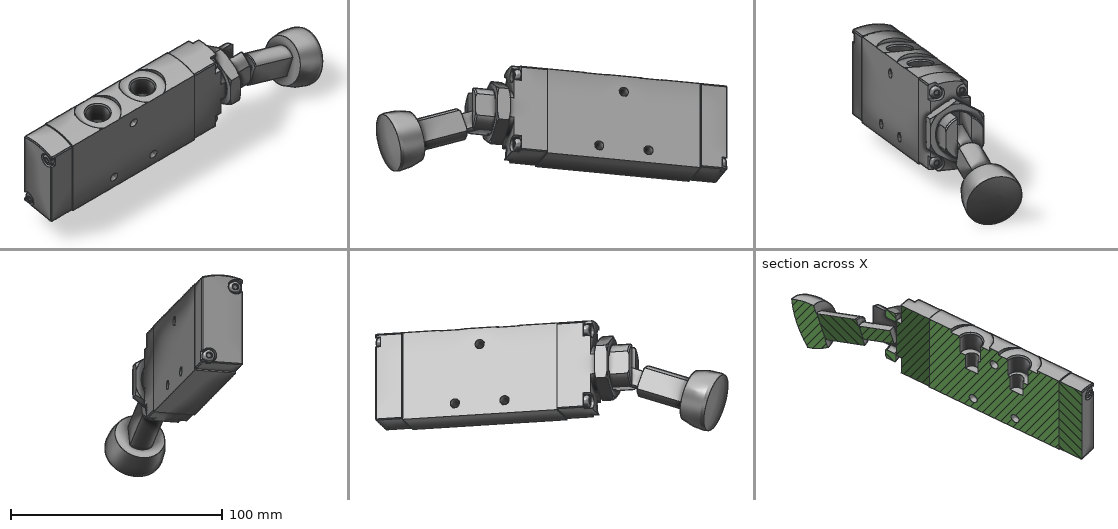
import cadquery as cq
import math

width = 20.0
half_width = width / 2
block_top = 44.0
side_top = 42.3
front_seam = 13.3
rear_seam = 88.7
block_mid = (front_seam + rear_seam) / 2

mount_hole_dia = 4.4
mount_high_z = 34.4
mount_low_z = 6.2
mount_low_offset = 12.1

port_offset = 13.8
port_dia = 11.5
port_depth = 10.1
port_chamfer = 0.7
passage_offset = 13.0
passage_dia = 7.0
passage_depth = 18.5
spot_face_dia = 22.1
spot_face_z = 42.2

cap_bottom = 0.5
rear_face = 105.0
cap_edge = 0.5

screw_x = 6.4
screw_high_z = 38.6
screw_low_z = 4.0
head_dia = 5.9
head_height = 2.5
head_rounding = 1.3
socket_dia = 2.5
socket_rim_dia = 3.0
socket_depth = 1.2
front_recess_dia = 7.0
front_recess_depth = 2.5
front_slot_height = 4.5
rear_recess_dia = 6.7
rear_recess_depth = 3.5

neck_z = 21.2
nut_rear = 108.0
nut_thickness = 6.2
nut_across_flats = 27.1
nut_chamfer_dia = 28.3
nut_chamfer_height = 0.7
nut_bore = 20.4
nut_bore_chamfer = 0.8
neck_end = 123.8
shoulder_dia = 22.3
shoulder_flats = width
neck_dia = 21.8
neck_flats = 18.9
neck_tip_dia = 20.4

lever_tilt = 20.0
pivot_y = 108.6
bar_width = 7.0
bar_height = 7.8
bar_start = 1.7
stem_start = 21.0
stem_dia = 15.2
stem_flats = 10.8
stem_end_chamfer = 0.5
knob_base = 45.7
knob_base_radius = 12.1
knob_bulge_at = 51.6
knob_bulge_radius = 13.8
knob_rim = 57.2
knob_rim_radius = 14.2
knob_shoulder = 58.9
knob_shoulder_radius = 13.8
knob_apex = 60.7
knob_crown_slope = 0.3


def box(x_range, y_range, z_range):
    """Axis-aligned block from its lower and upper limits."""
    size = [high - low for low, high in (x_range, y_range, z_range)]
    corner = (x_range[0], y_range[0], z_range[0])
    return cq.Workplane("XY").box(*size, centered=False).translate(corner)


def rod(diameter, y_start, y_end, x=0, z=0):
    """Round bar parallel to Y."""
    plane = cq.Plane(origin=(x, y_start, z), xDir=(1, 0, 0), normal=(0, 1, 0))
    return cq.Workplane(plane).circle(diameter / 2).extrude(y_end - y_start)


def flatted(body, flats):
    """Trim a round bar parallel to Y down to two flats facing -X and +X."""
    bounds = body.val().BoundingBox()
    between_flats = box((-flats / 2, flats / 2), (bounds.ymin, bounds.ymax), (bounds.zmin, bounds.zmax))
    return body.intersect(between_flats)


def crowned_bar(bottom, y_start, y_end):
    """Bar along Y with flat sides and a gently arched top."""
    plane = cq.Plane(origin=(0, y_start, 0), xDir=(-1, 0, 0), normal=(0, 1, 0))
    return (
        cq.Workplane(plane)
        .moveTo(-half_width, bottom)
        .lineTo(half_width, bottom)
        .lineTo(half_width, side_top)
        .threePointArc((0, block_top), (-half_width, side_top))
        .close()
        .extrude(y_end - y_start)
    )


def drill_down(diameter, y, top, depth):
    return cq.Workplane("XY", origin=(0, y, top)).circle(diameter / 2).extrude(-depth)


def port_cutter(side):
    """Spot face, chamfered port and offset inner passage; side is -1 or +1 along Y."""
    y = block_mid + side * port_offset
    passage_y = block_mid + side * passage_offset
    cutter = drill_down(spot_face_dia, y, block_top, block_top - spot_face_z)
    cutter = cutter.union(drill_down(port_dia, y, spot_face_z, port_depth))
    countersink = (
        cq.Workplane("XY", origin=(0, y, spot_face_z))
        .circle(port_dia / 2 + port_chamfer)
        .workplane(offset=-port_chamfer)
        .circle(port_dia / 2)
        .loft()
    )
    return cutter.union(countersink).union(drill_down(passage_dia, passage_y, spot_face_z, passage_depth))


def make_block():
    block = crowned_bar(0, front_seam, rear_seam)
    for side in (-1, 1):
        block = block.cut(port_cutter(side))
    mount_points = [
        (block_mid, mount_high_z),
        (block_mid - mount_low_offset, mount_low_z),
        (block_mid + mount_low_offset, mount_low_z),
    ]
    holes = cq.Workplane("YZ").pushPoints(mount_points).circle(mount_hole_dia / 2).extrude(width, both=True)
    return block.cut(holes)


def screw_head(x, z, y_base, direction):
    """Rounded socket head on the recess floor; direction is the way it faces along Y."""
    plane = cq.Plane(origin=(x, y_base, z), xDir=(1, 0, 0), normal=(0, direction, 0))
    head = cq.Workplane(plane).circle(head_dia / 2).extrude(head_height)
    head = head.faces(">Y" if direction > 0 else "<Y").edges().fillet(head_rounding)
    rim_chamfer = (socket_rim_dia - socket_dia) / 2
    socket = cq.Workplane(plane).workplane(offset=head_height).circle(socket_dia / 2).extrude(-socket_depth)
    rim = (
        cq.Workplane(plane)
        .workplane(offset=head_height)
        .circle(socket_rim_dia / 2)
        .workplane(offset=-rim_chamfer)
        .circle(socket_dia / 2)
        .loft()
    )
    return head.cut(socket).cut(rim)


def outward(start, sign, reach):
    """Interval from start, running the given distance in the sign direction."""
    return tuple(sorted((start, start + sign * reach)))


def make_front_cap():
    cap = crowned_bar(cap_bottom, 0, front_seam).edges().chamfer(cap_edge)
    floor = front_recess_depth
    for side, z in ((1, screw_high_z), (-1, screw_low_z)):
        x = side * screw_x
        half_slot = front_slot_height / 2
        side_slot = box(outward(x, side, half_width), (0, floor), (z - half_slot, z + half_slot))
        cap = cap.cut(rod(front_recess_dia, 0, floor, x, z)).cut(side_slot)
        cap = cap.union(screw_head(x, z, floor, -1))
    return cap


def make_rear_cap():
    cap = crowned_bar(cap_bottom, rear_seam, rear_face).edges("|Y").chamfer(cap_edge)
    floor = rear_face - rear_recess_depth
    radius = rear_recess_dia / 2
    for side in (-1, 1):
        for z, up in ((screw_high_z, 1), (screw_low_z, -1)):
            x = side * screw_x
            opening = outward(z - up * radius, up, block_top)
            corner = box(outward(x, side, half_width), (floor, rear_face), opening)
            cap = cap.cut(rod(rear_recess_dia, floor, rear_face, x, z)).cut(corner)
            cap = cap.union(screw_head(x, z, floor, 1))
    return cap.union(make_neck())


def make_neck():
    nut_front = nut_rear + nut_thickness
    shoulder = flatted(rod(shoulder_dia, rear_face, nut_rear, z=neck_z), shoulder_flats)
    tip_chamfer = (neck_dia - neck_tip_dia) / 2
    thread = rod(neck_dia, nut_front, neck_end, z=neck_z).faces(">Y").edges().chamfer(tip_chamfer)
    thread_core = rod(nut_bore, nut_rear, nut_front, z=neck_z)
    thread = flatted(thread, neck_flats).union(flatted(thread_core, neck_flats))
    half_slot = bar_width / 2
    lever_slot = box(
        (-half_slot, half_slot), (nut_rear, neck_end), (neck_z - neck_dia / 2, neck_z + neck_dia / 2)
    )
    return shoulder.union(thread.cut(lever_slot))


def make_nut():
    corner_radius = nut_across_flats / math.sqrt(3)
    chamfer_radius = nut_chamfer_dia / 2
    plane = cq.Plane(origin=(0, nut_rear, neck_z), xDir=(0, 0, 1), normal=(0, 1, 0))
    nut = cq.Workplane(plane).polygon(6, 2 * corner_radius).extrude(nut_thickness)
    envelope = (
        cq.Workplane("XY")
        .polyline([
            (0, 0),
            (chamfer_radius, 0),
            (corner_radius, nut_chamfer_height),
            (corner_radius, nut_thickness - nut_chamfer_height),
            (chamfer_radius, nut_thickness),
            (0, nut_thickness),
        ])
        .close()
        .revolve(360, (0, 0), (0, 1))
        .translate((0, nut_rear, neck_z))
    )
    nut = nut.intersect(envelope).cut(rod(nut_bore, nut_rear, nut_rear + nut_thickness, z=neck_z))
    bore_rims = cq.selectors.RadiusNthSelector(0)
    return nut.edges("%CIRCLE").edges(bore_rims).chamfer(nut_bore_chamfer)


def tilt(body):
    """Move a lever body from the Y axis onto the tilted lever axis."""
    return body.rotate((0, 0, 0), (1, 0, 0), -lever_tilt).translate((0, pivot_y, neck_z))


def make_bar():
    half_bar = bar_width / 2
    half_height = bar_height / 2
    return tilt(box((-half_bar, half_bar), (bar_start, stem_start), (-half_height, half_height)))


def make_stem():
    stem = rod(stem_dia, stem_start, knob_base).faces("<Y").edges().chamfer(stem_end_chamfer)
    return tilt(flatted(stem, stem_flats))


def make_knob():
    profile = (
        cq.Workplane("XY")
        .moveTo(0, knob_base)
        .lineTo(knob_base_radius, knob_base)
        .threePointArc((knob_bulge_radius, knob_bulge_at), (knob_rim_radius, knob_rim))
        .lineTo(knob_shoulder_radius, knob_shoulder)
        .spline([(0, knob_apex)], tangents=[(-1, knob_crown_slope), (-1, 0)], includeCurrent=True)
        .close()
    )
    return tilt(profile.revolve(360, (0, 0), (0, 1)))


block = make_block()
front_cap = make_front_cap()
rear_cap = make_rear_cap()
nut = make_nut()
bar = make_bar()
stem = make_stem()
knob = make_knob()

result = cq.Compound.makeCompound([
    block.val(),
    front_cap.val(),
    rear_cap.val(),
    nut.val(),
    bar.val(),
    stem.val(),
    knob.val(),
])